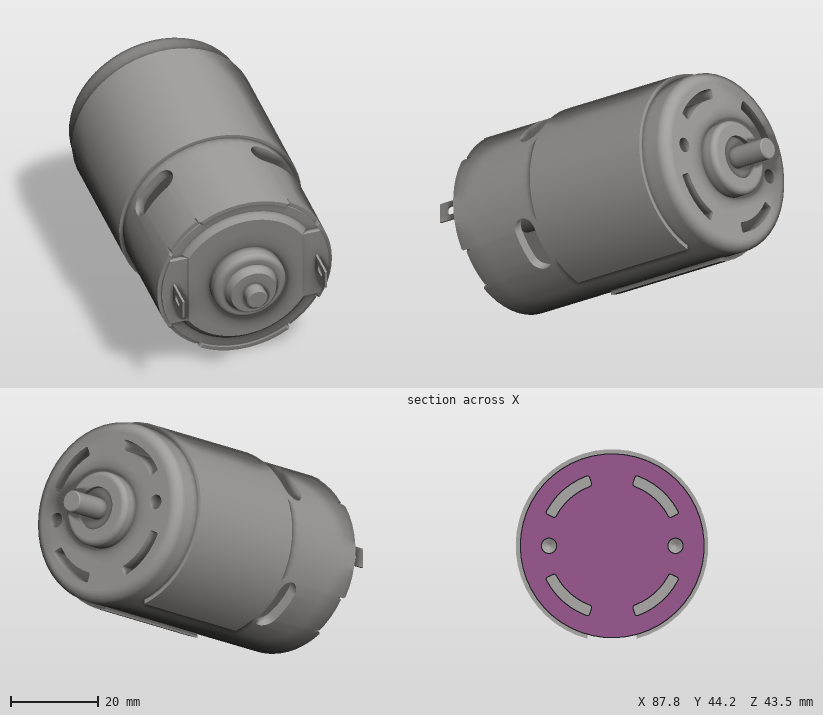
import cadquery as cq
import math


can_radius = 21.15
can_wall = 2.5
can_length = 65.6
chamber_radius = can_radius - can_wall
chamber_start = 41.0
cutter_reach = can_radius + 4.0

ring_radius = 22.1
ring_start = 7.1
ring_end = chamber_start
ring_gap = 11.2

boss_radius = 8.75
boss_fillet = 1.3
front_boss_height = 3.95
front_recess_radius = 5.0
front_recess_depth = 1.2
rear_boss_end = 70.1
rear_cone_end = 72.1
rear_cone_base_radius = 6.4
rear_cone_tip_radius = 5.4

shaft_radius = 2.5
shaft_start = -12.8
shaft_end = 74.95
shaft_chamfer = 0.25

mount_hole_radius = 1.7
mount_hole_depth = 5.0
mount_hole_point_angle = 118.0
mount_hole_offset = 14.5

vent_depth = 10.0
vent_inner_radius = 14.6
vent_outer_radius = 17.0
vent_start_angle = 26.0
vent_end_angle = 71.5
vent_corner_radius = 0.5

window_length = 13.0
window_width = 5.7
window_center = 46.0
window_angle = 41.0

notch_depth = 1.1
notch_floor = can_length - notch_depth
notch_half_angle = 13.6
notch_lead_in = 0.4
notch_angle = 45.0
slit_depth = 2.4
slit_width = 0.5

cap_inner_face = 62.5
cap_shoulder_recess = 0.6
cap_shoulder = can_length - cap_shoulder_recess
cap_radius = 20.2
cap_face = 66.4
cap_disc_radius = 17.9
cap_disc_width = 30.2
cap_disc_taper = 45.0
pad_face = 66.15
pad_width = 18.0

terminal_offset = 17.25
terminal_thickness = 0.5
terminal_width = 4.5
terminal_end = 73.0
terminal_hole_center = 69.3
terminal_hole_length = 3.1
terminal_hole_width = 2.0


def cylinder(radius, start, end):
    """Cylinder on the motor axis between two X positions."""
    return cq.Workplane("YZ").workplane(offset=start).circle(radius).extrude(end - start)


def block(x_range, y_size, z_size, y_center=0.0, z_center=0.0):
    """Box between two X positions, centred in Y and Z on the given point."""
    start, end = x_range
    plane = cq.Workplane("YZ").workplane(offset=start).center(y_center, z_center)
    return plane.rect(y_size, z_size).extrude(end - start)


def four_around(shape, first_angle):
    """Four copies of a shape, a quarter turn apart about the motor axis."""
    copies = cq.Workplane("YZ")
    for quarter in range(4):
        copies = copies.add(shape.rotate((0, 0, 0), (1, 0, 0), first_angle + 90 * quarter))
    return copies.combine()


def make_can():
    can = cylinder(can_radius, 0, can_length).faces("<X").edges().fillet(can_wall)
    boss = cylinder(boss_radius, -front_boss_height, can_wall)
    boss = boss.faces("<X").edges().fillet(boss_fillet)
    recess = cylinder(front_recess_radius, -front_boss_height, front_recess_depth - front_boss_height)
    chamber = cylinder(chamber_radius, chamber_start, can_length)
    rim_seat = cylinder(cap_radius, notch_floor, can_length)
    return can.cut(chamber).cut(rim_seat).union(boss).cut(recess)


def make_ring():
    ring = cylinder(ring_radius, ring_start, ring_end)
    core = cylinder(can_radius - can_wall / 2, ring_start, ring_end)
    gap = block((ring_start, ring_end), ring_gap, ring_radius, z_center=-ring_radius)
    return ring.cut(core).cut(gap)


def make_mount_holes():
    point_height = mount_hole_radius / math.tan(math.radians(mount_hole_point_angle / 2))
    hole = (
        cq.Workplane("XY")
        .polyline(
            [
                (0, 0),
                (0, mount_hole_radius),
                (mount_hole_depth, mount_hole_radius),
                (mount_hole_depth + point_height, 0),
            ]
        )
        .close()
        .revolve(360, (0, 0), (1, 0))
    )
    return hole.translate((0, mount_hole_offset, 0)).union(hole.translate((0, -mount_hole_offset, 0)))


def make_vents():
    def polar(radius, angle):
        angle = math.radians(angle)
        return radius * math.cos(angle), radius * math.sin(angle)

    middle_angle = (vent_start_angle + vent_end_angle) / 2
    vent = (
        cq.Workplane("YZ")
        .moveTo(*polar(vent_inner_radius, vent_start_angle))
        .lineTo(*polar(vent_outer_radius, vent_start_angle))
        .threePointArc(polar(vent_outer_radius, middle_angle), polar(vent_outer_radius, vent_end_angle))
        .lineTo(*polar(vent_inner_radius, vent_end_angle))
        .threePointArc(polar(vent_inner_radius, middle_angle), polar(vent_inner_radius, vent_start_angle))
        .close()
        .extrude(vent_depth)
        .edges("|X")
        .fillet(vent_corner_radius)
    )
    upper_pair = vent.union(vent.mirror("XZ"))
    return upper_pair.union(upper_pair.mirror("XY"))


def make_windows():
    window = (
        cq.Workplane("XZ", origin=(window_center, 0, 0))
        .slot2D(window_length, window_width, 90)
        .extrude(cutter_reach)
    )
    return four_around(window, -window_angle)


def make_notches():
    """Rim notches with a narrow slit at each end, centred between the Y and Z axes."""
    half_width = can_radius * math.sin(math.radians(notch_half_angle))
    notch = (
        cq.Workplane("XY")
        .moveTo(notch_floor, -half_width)
        .lineTo(can_length - notch_lead_in, -half_width)
        .lineTo(can_length, -half_width - notch_lead_in)
        .lineTo(can_length, half_width + notch_lead_in)
        .lineTo(can_length - notch_lead_in, half_width)
        .lineTo(notch_floor, half_width)
        .close()
        .extrude(cutter_reach)
    )
    for side in (-1, 1):
        center = side * (half_width - slit_width / 2)
        slit_range = (can_length - slit_depth, can_length)
        slit = block(slit_range, slit_width, cutter_reach, center, cutter_reach / 2)
        notch = notch.union(slit)
    return four_around(notch, notch_angle)


def make_cap():
    base = cylinder(chamber_radius, cap_inner_face, cap_shoulder)
    base = base.union(cylinder(cap_radius, notch_floor, cap_shoulder))
    half_width = cap_disc_width / 2
    flat_end = math.sqrt(cap_disc_radius**2 - half_width**2)
    disc = (
        cq.Workplane("YZ")
        .workplane(offset=cap_shoulder)
        .moveTo(half_width, -flat_end)
        .lineTo(half_width, flat_end)
        .threePointArc((0, cap_disc_radius), (-half_width, flat_end))
        .lineTo(-half_width, -flat_end)
        .threePointArc((0, -cap_disc_radius), (half_width, -flat_end))
        .close()
        .extrude(cap_face - cap_shoulder, taper=cap_disc_taper)
    )
    pads = cylinder(cap_radius, cap_shoulder, pad_face)
    pads = pads.intersect(block((cap_shoulder, pad_face), 2 * cap_radius, pad_width))
    boss = cylinder(boss_radius, cap_shoulder, rear_boss_end).faces(">X").edges().fillet(boss_fillet)
    cone = (
        cq.Workplane("YZ")
        .workplane(offset=rear_boss_end)
        .circle(rear_cone_base_radius)
        .workplane(offset=rear_cone_end - rear_boss_end)
        .circle(rear_cone_tip_radius)
        .loft()
    )
    return base.union(disc).union(pads).union(boss).union(cone)


def make_terminal(side):
    center = side * terminal_offset
    blade = block((cap_shoulder, terminal_end), terminal_thickness, terminal_width, center)
    hole = (
        cq.Workplane("XZ", origin=(terminal_hole_center, center, 0))
        .slot2D(terminal_hole_length, terminal_hole_width)
        .extrude(terminal_thickness, both=True)
    )
    return blade.cut(hole)


def make_shaft():
    return cylinder(shaft_radius, shaft_start, shaft_end).faces("<X or >X").chamfer(shaft_chamfer)


result = make_can().union(make_ring())
result = result.cut(make_windows()).cut(make_notches()).cut(make_vents()).cut(make_mount_holes())
result = result.union(make_cap()).union(make_shaft())
for side in (-1, 1):
    result = result.union(make_terminal(side))